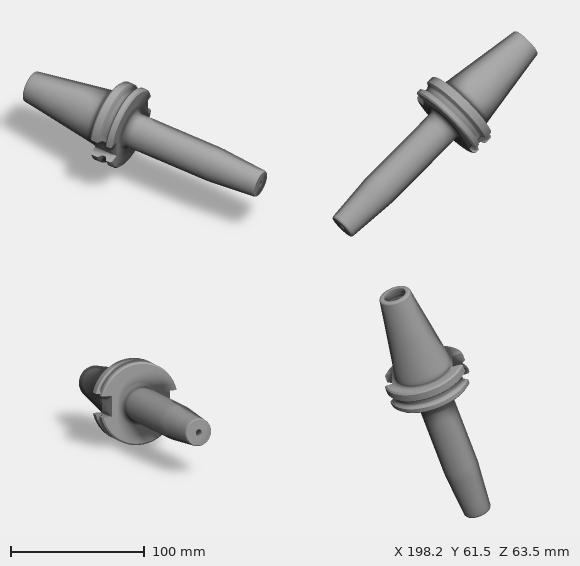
import cadquery as cq
import math

TOTAL_LENGTH = 198.2
FLANGE_START = 68.8
FLANGE_END = 87.2
NOSE_BLEND_START = 157.0
NOSE_TAPER_START = 161.4

TAPER_LARGE_DIAMETER = 44.6
TAPER_RATIO = 7 / 24
TAPER_LENGTH = 68.2
TAPER_END_ROUND = 1.8
COLLAR_DIAMETER = 44.0

FLANGE_DIAMETER = 63.5
FLANGE_CHAMFER = 1.2
GROOVE_START = 75.5
GROOVE_END = 82.9
GROOVE_FLOOR_DIAMETER = 56.7
GROOVE_WALL_ANGLE = 30.0
GROOVE_FLOOR_ROUND = 1.4

SLOT_WIDTH = 16.0
FRONT_SLOT_FLOOR = 22.6
BACK_SLOT_FLOOR = 24.8

NECK_DIAMETER = 27.0
NECK_ROUND = 3.2
NOSE_TAPER_ANGLE = 4.4
NOSE_CHAMFER_LENGTH = 1.2
NOSE_CHAMFER_DEPTH = 0.5

MOUTH_DIAMETER = 17.6
PILOT_DIAMETER = 16.9
PILOT_DEPTH = 5.0
RELIEF_DIAMETER = 15.9
RELIEF_DEPTH = 7.1
CORE_DIAMETER = 13.5
CORE_DEPTH = 31.7
DRILL_POINT_ANGLE = 118.0
CHANNEL_DIAMETER = 7.0
CHANNEL_DEPTH = 138.8
THROUGH_DIAMETER = 5.0


def revolve_about_x(sketch):
    return sketch.close().revolve(360, (0, 0, 0), (1, 0, 0))


def body():
    taper_large = TAPER_LARGE_DIAMETER / 2
    taper_small = taper_large - TAPER_LENGTH * TAPER_RATIO / 2
    collar = COLLAR_DIAMETER / 2
    flange = FLANGE_DIAMETER / 2
    neck = NECK_DIAMETER / 2
    floor = GROOVE_FLOOR_DIAMETER / 2

    wall_angle = math.radians(GROOVE_WALL_ANGLE)
    wall_run = (flange - floor) * math.tan(wall_angle)
    tangent = GROOVE_FLOOR_ROUND * math.tan((math.pi / 2 - wall_angle) / 2)
    left_corner = GROOVE_START + wall_run
    right_corner = GROOVE_END - wall_run
    round_run = tangent * math.sin(wall_angle)
    round_top = floor + tangent * math.cos(wall_angle)

    nose_angle = math.radians(NOSE_TAPER_ANGLE)
    blend_radius = (NOSE_TAPER_START - NOSE_BLEND_START) / math.sin(nose_angle)
    nose_taper_end = TOTAL_LENGTH - NOSE_CHAMFER_LENGTH
    nose_large = neck - blend_radius * (1 - math.cos(nose_angle))
    nose_small = nose_large - (nose_taper_end - NOSE_TAPER_START) * math.tan(nose_angle)

    round_angle = math.pi / 4
    round_mid_x = TAPER_END_ROUND * (1 - math.cos(round_angle))
    round_mid_y = taper_small - TAPER_END_ROUND * (1 - math.sin(round_angle))
    return revolve_about_x(
        cq.Workplane("XY")
        .moveTo(0, 0)
        .lineTo(0, taper_small - TAPER_END_ROUND)
        .threePointArc((round_mid_x, round_mid_y), (TAPER_END_ROUND, taper_small))
        .lineTo(TAPER_LENGTH, taper_large)
        .lineTo(TAPER_LENGTH, collar)
        .lineTo(FLANGE_START, collar)
        .lineTo(FLANGE_START, flange - FLANGE_CHAMFER)
        .lineTo(FLANGE_START + FLANGE_CHAMFER, flange)
        .lineTo(GROOVE_START, flange)
        .lineTo(left_corner - round_run, round_top)
        .radiusArc((left_corner + tangent, floor), -GROOVE_FLOOR_ROUND)
        .lineTo(right_corner - tangent, floor)
        .radiusArc((right_corner + round_run, round_top), -GROOVE_FLOOR_ROUND)
        .lineTo(GROOVE_END, flange)
        .lineTo(FLANGE_END - FLANGE_CHAMFER, flange)
        .lineTo(FLANGE_END, flange - FLANGE_CHAMFER)
        .lineTo(FLANGE_END, neck + NECK_ROUND)
        .radiusArc((FLANGE_END + NECK_ROUND, neck), -NECK_ROUND)
        .lineTo(NOSE_BLEND_START, neck)
        .radiusArc((NOSE_TAPER_START, nose_large), blend_radius)
        .lineTo(nose_taper_end, nose_small)
        .lineTo(TOTAL_LENGTH, nose_small - NOSE_CHAMFER_DEPTH)
        .lineTo(TOTAL_LENGTH, 0)
    )


def bore():
    mouth = MOUTH_DIAMETER / 2
    pilot = PILOT_DIAMETER / 2
    relief = RELIEF_DIAMETER / 2
    core = CORE_DIAMETER / 2
    channel = CHANNEL_DIAMETER / 2
    through = THROUGH_DIAMETER / 2
    half_point = math.tan(math.radians(DRILL_POINT_ANGLE / 2))
    return revolve_about_x(
        cq.Workplane("XY")
        .moveTo(0, 0)
        .lineTo(0, mouth)
        .lineTo(mouth - pilot, pilot)
        .lineTo(PILOT_DEPTH, pilot)
        .lineTo(PILOT_DEPTH, relief)
        .lineTo(RELIEF_DEPTH, relief)
        .lineTo(RELIEF_DEPTH + (relief - core) / half_point, core)
        .lineTo(CORE_DEPTH, core)
        .lineTo(CORE_DEPTH + (core - channel) / half_point, channel)
        .lineTo(CHANNEL_DEPTH, channel)
        .lineTo(CHANNEL_DEPTH, through)
        .lineTo(TOTAL_LENGTH, through)
        .lineTo(TOTAL_LENGTH, 0)
    )


def drive_slot(side, floor):
    length = FLANGE_END - FLANGE_START
    depth = FLANGE_DIAMETER / 2
    return cq.Workplane("XY").box(length, depth, SLOT_WIDTH).translate(
        (FLANGE_START + length / 2, side * (floor + depth / 2), 0)
    )


result = (
    body()
    .cut(drive_slot(-1, FRONT_SLOT_FLOOR))
    .cut(drive_slot(1, BACK_SLOT_FLOOR))
    .cut(bore())
)